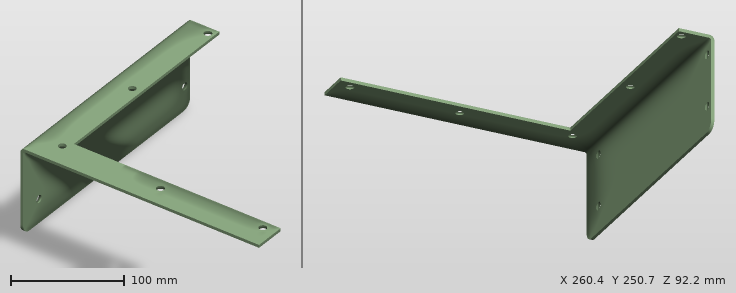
import cadquery as cq

length_x = 260.4
width_y = 250.7
height_z = 92.2

thickness = 3.0
bend_radius = 5.0
side_arm_width = 35.0
front_arm_width = 32.5
corner_radius = 10.0

hole_diameter = 7.8
hole_pitch = 218.7
half_pitch = hole_pitch / 2
first_hole_x = 28.5
first_hole_y = 24.0
middle_hole_shift = 3.0
flange_hole_levels = (-66.6, -16.0)


def make_bent_sheet():
    """Full top plate with the side flange hanging below its left edge, top face at Z = 0."""
    inner_radius = bend_radius - thickness
    profile = (
        cq.Workplane("XZ")
        .moveTo(0, -height_z)
        .lineTo(0, -bend_radius)
        .radiusArc((bend_radius, 0), bend_radius)
        .lineTo(length_x, 0)
        .lineTo(length_x, -thickness)
        .lineTo(bend_radius, -thickness)
        .radiusArc((thickness, -bend_radius), -inner_radius)
        .lineTo(thickness, -height_z)
        .close()
    )
    return profile.extrude(-width_y)


def make_arm_cutout():
    """Block removed from the top plate to leave two arms in an L."""
    return cq.Workplane("XY").box(
        length_x - side_arm_width, width_y - front_arm_width, 2 * height_z, centered=False
    ).translate((side_arm_width, front_arm_width, -height_z))


def make_plate_holes():
    """Holes along both arms; each middle hole sits nearer the outer edge."""
    centres = [
        (first_hole_x, first_hole_y),
        (first_hole_x - middle_hole_shift, first_hole_y + half_pitch),
        (first_hole_x, first_hole_y + hole_pitch),
        (first_hole_x + half_pitch, first_hole_y - middle_hole_shift),
        (first_hole_x + hole_pitch, first_hole_y),
    ]
    drills = cq.Workplane("XY").pushPoints(centres).circle(hole_diameter / 2)
    return drills.extrude(thickness, both=True)


def make_flange_holes():
    """Two rows of two holes through the side flange."""
    centres = [
        (y, z)
        for y in (first_hole_y, first_hole_y + hole_pitch)
        for z in flange_hole_levels
    ]
    drills = cq.Workplane("YZ").pushPoints(centres).circle(hole_diameter / 2)
    return drills.extrude(thickness)


bracket = make_bent_sheet().cut(make_arm_cutout())
bracket = bracket.faces("<Z").edges("|X").fillet(corner_radius)
result = bracket.cut(make_plate_holes()).cut(make_flange_holes())